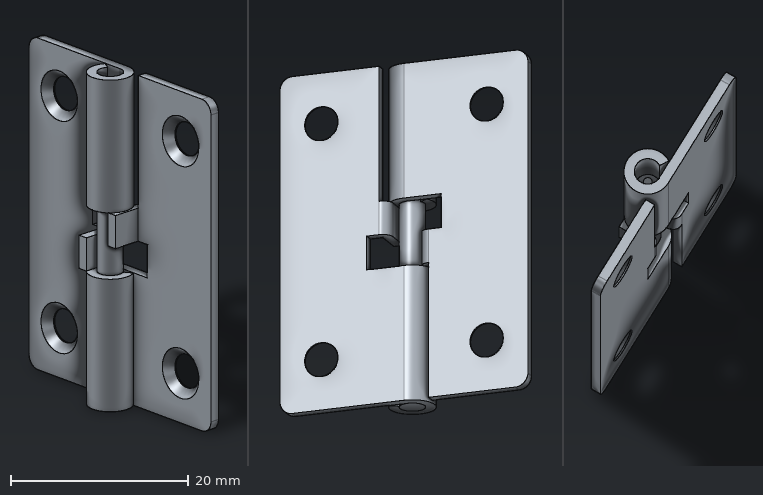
import cadquery as cq
import math


hinge_width = 30.0
hinge_height = 40.0
sheet = 1.2
corner_radius = 1.5

bore_radius = 1.5
knuckle_radius = bore_radius + sheet
knuckle_end_angle = 148.0

knuckle_gap = 8.0
leaf_edge_x = 3.0
notch_edge_x = 4.5
tab_end_y = -2.0

screw_x = 10.0
screw_z = 14.0
screw_diameter = 4.0
sink_diameter = 6.0
sink_angle = 90.0

pin_tip_radius = 0.5
pin_tip_length = 2.0
pin_recess = 4.0

outer_x = hinge_width / 2
top_z = hinge_height / 2
knuckle_z = knuckle_gap / 2
back_y = knuckle_radius
front_y = back_y - sheet


def polar(radius, degrees):
    angle = math.radians(degrees)
    return (radius * math.cos(angle), radius * math.sin(angle))


def extrude_between(profile, low_z, high_z):
    return profile.extrude(high_z - low_z).translate((0, 0, low_z))


def make_plate():
    """Flat part of the left leaf, with rounded outer corners, reaching the notch edge."""
    plate = (
        cq.Workplane("XY")
        .box(outer_x - notch_edge_x, sheet, hinge_height, centered=False)
        .translate((-outer_x, front_y, -top_z))
        .edges("|Y and <X")
        .fillet(corner_radius)
    )
    lower_strip = (
        cq.Workplane("XY")
        .box(notch_edge_x - leaf_edge_x, sheet, top_z - knuckle_z, centered=False)
        .translate((-notch_edge_x, front_y, -top_z))
    )
    return plate.union(lower_strip)


def make_knuckle():
    """Sheet that runs tangent from the plate and rolls clockwise around the bore."""
    roll_start = 90.0
    roll_middle = (roll_start + knuckle_end_angle - 360) / 2
    profile = (
        cq.Workplane("XY")
        .moveTo(-notch_edge_x, back_y)
        .lineTo(0, back_y)
        .threePointArc(polar(knuckle_radius, roll_middle), polar(knuckle_radius, knuckle_end_angle))
        .lineTo(*polar(bore_radius, knuckle_end_angle))
        .threePointArc(polar(bore_radius, roll_middle), (0, front_y))
        .lineTo(-notch_edge_x, front_y)
        .close()
    )
    return extrude_between(profile, knuckle_z, top_z)


def make_tab():
    """Tab bent forward beside the pin: sharp inside corner, outside radius of one sheet."""
    tab_inner_x = -leaf_edge_x + sheet
    bend_dx, bend_dy = polar(sheet, 45)
    profile = (
        cq.Workplane("XY")
        .moveTo(-notch_edge_x, back_y)
        .lineTo(-leaf_edge_x, back_y)
        .threePointArc((-leaf_edge_x + bend_dx, front_y + bend_dy), (tab_inner_x, front_y))
        .lineTo(tab_inner_x, tab_end_y)
        .lineTo(-leaf_edge_x, tab_end_y)
        .lineTo(-leaf_edge_x, front_y)
        .lineTo(-notch_edge_x, front_y)
        .close()
    )
    return extrude_between(profile, -knuckle_z, 0)


def make_leaf():
    """Left leaf, with its knuckle in the upper half and its screw holes sunk from the front."""
    blank = make_plate().union(make_knuckle()).union(make_tab())
    return (
        blank.copyWorkplane(cq.Workplane("XZ", origin=(0, front_y, 0)))
        .pushPoints([(-screw_x, -screw_z), (-screw_x, screw_z)])
        .cskHole(screw_diameter, sink_diameter, sink_angle)
    )


def make_pin():
    """Round pin, flush with the bottom of the lower knuckle, with a blunt cone at the top."""
    tip_z = top_z - pin_recess
    return (
        cq.Workplane("XZ")
        .moveTo(0, -top_z)
        .lineTo(bore_radius, -top_z)
        .lineTo(bore_radius, tip_z - pin_tip_length)
        .lineTo(pin_tip_radius, tip_z)
        .lineTo(0, tip_z)
        .close()
        .revolve(360, (0, 0, 0), (0, 1, 0))
    )


left_leaf = make_leaf()
right_leaf = left_leaf.rotate((0, 0, 0), (0, 1, 0), 180)
pin = make_pin()

result = cq.Compound.makeCompound([left_leaf.solids().val(), right_leaf.solids().val(), pin.val()])